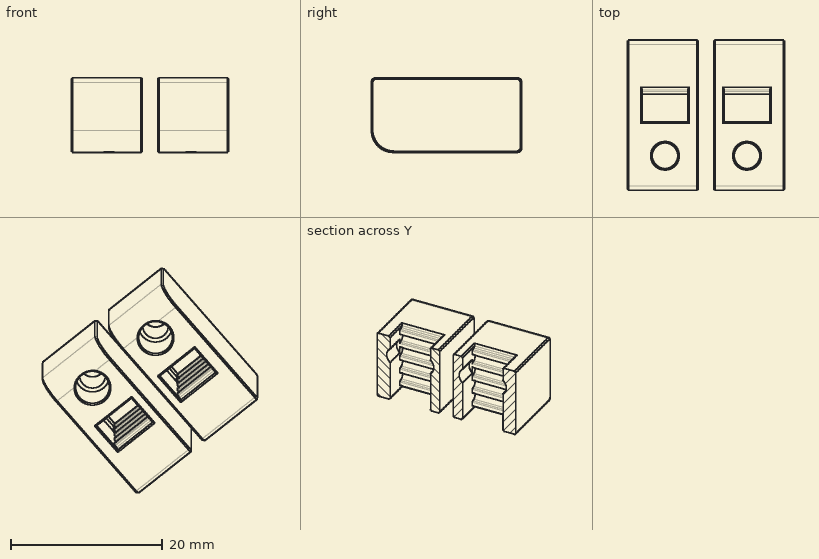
import cadquery as cq
import math

PAIR_WIDTH = 20.8
BLOCK_GAP = 2.0
BLOCK_WIDTH = (PAIR_WIDTH - BLOCK_GAP) / 2
BLOCK_LENGTH = 19.9
BLOCK_HEIGHT = 9.9
SIDE_CENTRE_X = (BLOCK_GAP + BLOCK_WIDTH) / 2
FRONT_Y = -BLOCK_LENGTH / 2
TOP_Z = BLOCK_HEIGHT / 2

CORNER_RADIUS = 0.6
NOSE_RADIUS = 2.95
EDGE_CHAMFER = 0.2

OPENING_OFFSET = 0.27
OPENING_X = SIDE_CENTRE_X - OPENING_OFFSET

HOLE_DIAMETER = 3.4
COUNTERBORE_DIAMETER = 4.45
COUNTERBORE_DEPTH = BLOCK_HEIGHT / 2
HOLE_Y = FRONT_Y + 4.58

SLOT_WIDTH = 6.0
SLOT_DEPTH = 4.39
SLOT_FRONT_Y = FRONT_Y + 9.05
SLOT_BACK_Y = SLOT_FRONT_Y + SLOT_DEPTH

TOOTH_PITCH = 2.0
TOOTH_HEIGHT = 0.75
ROOT_RADIUS = 0.56
FLANK_RADIUS = 1.0
TIP_RADIUS = 0.15
TOOTH_COUNT = 5
TOOTH_LIFT = 0.08
LAND_Y = SLOT_BACK_Y - TOOTH_HEIGHT

RECESS_DIAMETER = 2.7
RECESS_REACH = 0.5
RECESS_Z = TOP_Z - 3.04


def block_body():
    """Block with rounded long edges, a large rounded nose below and chamfered ends."""
    block = cq.Workplane("XY").box(BLOCK_WIDTH, BLOCK_LENGTH, BLOCK_HEIGHT)
    block = block.edges("|X and (>Z or >Y)").fillet(CORNER_RADIUS)
    block = block.edges("|X and <Y and <Z").fillet(NOSE_RADIUS)
    block = block.faces("<X or >X").edges().chamfer(EDGE_CHAMFER)
    return block.translate((SIDE_CENTRE_X, 0, 0))


def groove_between_teeth(centre_z):
    """Tool that cuts one belt groove, open at the land plane and centred at the given height."""
    root_centre = TOOTH_HEIGHT - ROOT_RADIUS
    flank_offset = math.sqrt((FLANK_RADIUS - ROOT_RADIUS) ** 2 - root_centre ** 2)
    tip_z = math.sqrt((FLANK_RADIUS + TIP_RADIUS) ** 2 - TIP_RADIUS ** 2) - flank_offset
    root_angle = math.atan2(root_centre, flank_offset)
    tip_angle = math.asin(TIP_RADIUS / (FLANK_RADIUS + TIP_RADIUS))

    def on_flank(angle):
        return (LAND_Y + FLANK_RADIUS * math.sin(angle), FLANK_RADIUS * math.cos(angle) - flank_offset)

    def on_tip(angle):
        return (LAND_Y + TIP_RADIUS * (1 - math.cos(angle)), tip_z - TIP_RADIUS * math.sin(angle))

    def at_height(point, side):
        return (point[0], centre_z + side * point[1])

    land_end = on_tip(0)
    tip_middle = on_tip((math.pi / 2 - tip_angle) / 2)
    flank_start = on_flank(tip_angle)
    flank_middle = on_flank((tip_angle + root_angle) / 2)
    flank_end = on_flank(root_angle)
    root_middle = (SLOT_BACK_Y, 0)
    return (
        cq.Workplane("YZ", origin=(OPENING_X - SLOT_WIDTH / 2, 0, 0))
        .moveTo(*at_height(land_end, 1))
        .threePointArc(at_height(tip_middle, 1), at_height(flank_start, 1))
        .threePointArc(at_height(flank_middle, 1), at_height(flank_end, 1))
        .threePointArc(at_height(root_middle, 1), at_height(flank_end, -1))
        .threePointArc(at_height(flank_middle, -1), at_height(flank_start, -1))
        .threePointArc(at_height(tip_middle, -1), at_height(land_end, -1))
        .close()
        .extrude(SLOT_WIDTH)
    )


def slot_mouth(direction):
    """Chamfer tool for the slot's mouth: direction is 1 at the top face, -1 at the bottom."""
    groove_z = direction * TOOTH_COUNT / 2 * TOOTH_PITCH + TOOTH_LIFT

    def outline(face_inset, widening):
        root_offset = direction * (TOP_Z - face_inset) - groove_z
        root_y = SLOT_BACK_Y - ROOT_RADIUS + math.sqrt(ROOT_RADIUS ** 2 - root_offset ** 2)
        depth = root_y - SLOT_FRONT_Y
        return (
            cq.Sketch()
            .rect(SLOT_WIDTH + 2 * widening, depth + 2 * widening)
            .moved(cq.Location(cq.Vector(0, depth / 2, -direction * face_inset)))
        )

    return (
        cq.Workplane("XY", origin=(OPENING_X, SLOT_FRONT_Y, direction * TOP_Z))
        .placeSketch(outline(0, EDGE_CHAMFER), outline(EDGE_CHAMFER, 0))
        .loft(ruled=True)
    )


def cut_belt_slot(block):
    """Cut the slot up to the tooth lands, then the grooves and both chamfered mouths."""
    clear_depth = LAND_Y - SLOT_FRONT_Y
    slot = (
        cq.Workplane("XY")
        .box(SLOT_WIDTH, clear_depth, BLOCK_HEIGHT)
        .translate((OPENING_X, SLOT_FRONT_Y + clear_depth / 2, 0))
    )
    block = block.cut(slot)
    for index in range(TOOTH_COUNT + 1):
        groove_z = (index - TOOTH_COUNT / 2) * TOOTH_PITCH + TOOTH_LIFT
        block = block.cut(groove_between_teeth(groove_z))
    return block.cut(slot_mouth(1)).cut(slot_mouth(-1))


def cut_recess(block):
    """Round-ended recess that reaches a little into both side walls of the slot."""
    recess = (
        cq.Workplane("XZ", origin=(OPENING_X, LAND_Y, RECESS_Z))
        .slot2D(SLOT_WIDTH + 2 * RECESS_REACH, RECESS_DIAMETER)
        .extrude(LAND_Y - SLOT_FRONT_Y)
    )
    return block.cut(recess)


def hole_mouth(diameter, direction):
    """Conical chamfer tool for a round mouth: direction is 1 at the top face, -1 at the bottom."""
    radius = diameter / 2
    return cq.Workplane(
        cq.Solid.makeCone(
            radius + EDGE_CHAMFER,
            radius,
            EDGE_CHAMFER,
            cq.Vector(OPENING_X, HOLE_Y, direction * TOP_Z),
            cq.Vector(0, 0, -direction),
        )
    )


def cut_screw_hole(block):
    """Through hole, counterbored from below and chamfered at both mouths."""
    axis = cq.Workplane("XY", origin=(OPENING_X, HOLE_Y, -TOP_Z))
    hole = axis.circle(HOLE_DIAMETER / 2).extrude(BLOCK_HEIGHT)
    counterbore = axis.circle(COUNTERBORE_DIAMETER / 2).extrude(COUNTERBORE_DEPTH)
    block = block.cut(hole).cut(counterbore)
    return block.cut(hole_mouth(HOLE_DIAMETER, 1)).cut(hole_mouth(COUNTERBORE_DIAMETER, -1))


def belt_clamp():
    """Belt clamp on the +X side of the gap."""
    return cut_screw_hole(cut_recess(cut_belt_slot(block_body())))


def mirrored_pair(make_body):
    """The body and its mirror image across the gap, as separate solids."""
    body = make_body()
    return [body.val(), body.mirror("YZ").val()]


result = cq.Compound.makeCompound(mirrored_pair(belt_clamp))